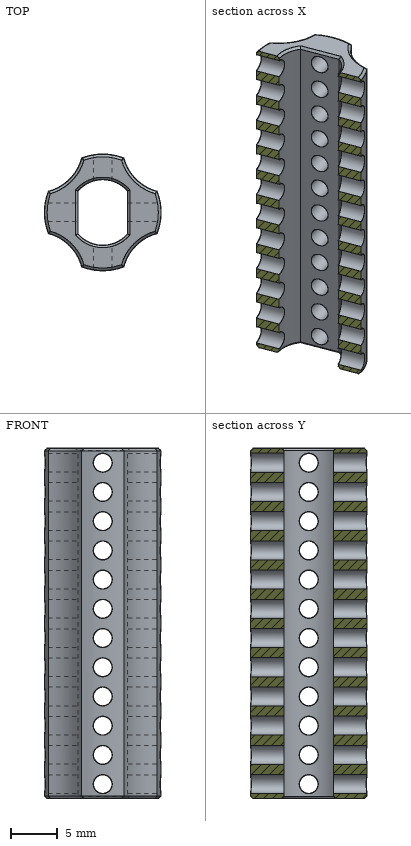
import cadquery as cq

length = 37.5
outer_diameter = 12.5
outer_chamfer = 0.3

flute_count = 4
flute_radius = 5.0
flute_center_distance = 10.0
first_flute_angle = 45.0

bore_diameter = 7.0
bore_flat_width = 5.3
bore_chamfer = 0.25

hole_diameter = 2.0
holes_per_row = 12
hole_pitch = length / holes_per_row


def fluted_body():
    """Round bar with the flutes cut and both end outlines chamfered."""
    bar = cq.Workplane("XY").circle(outer_diameter / 2).extrude(length)
    flutes = (
        cq.Workplane("XY")
        .polarArray(flute_center_distance, first_flute_angle, 360, flute_count)
        .circle(flute_radius)
        .extrude(length)
    )
    return bar.cut(flutes).faces("<Z or >Z").edges().chamfer(outer_chamfer)


def cut_bore(body):
    """Cut the double-flat bore and chamfer its rim at both ends."""
    cylinder = cq.Workplane("XY").circle(bore_diameter / 2).extrude(length)
    flats = cq.Workplane("XY").rect(bore_flat_width, bore_diameter).extrude(length)
    bored = body.cut(cylinder.intersect(flats))

    reach = bore_diameter / 2 + bore_chamfer
    around_bore = cq.selectors.BoxSelector(
        (-reach, -reach, -bore_chamfer),
        (reach, reach, length + bore_chamfer),
        boundingbox=True,
    )
    return bored.faces("<Z or >Z").edges(around_bore).chamfer(bore_chamfer)


def hole_row(plane):
    """Cutters for one row of holes through the whole body, normal to plane."""
    centers = [(0, (i + 0.5) * hole_pitch) for i in range(holes_per_row)]
    return (
        cq.Workplane(plane)
        .pushPoints(centers)
        .circle(hole_diameter / 2)
        .extrude(outer_diameter, both=True)
    )


result = cut_bore(fluted_body())
for row_plane in ("XZ", "YZ"):
    result = result.cut(hole_row(row_plane))